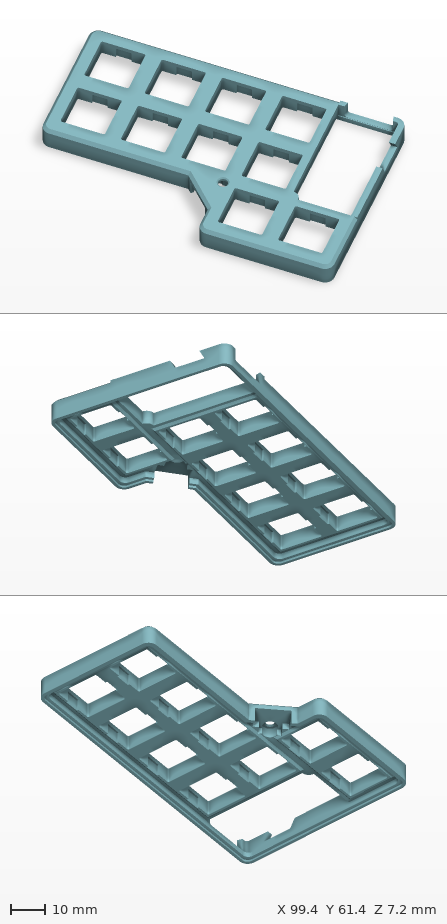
import cadquery as cq
import math

length = 99.4
width = 61.4
height = 7.2
corner_radius = 3.0
top_chamfer = 1.0

step_x = 57.1
step_y = 19.0
diagonal_cut = 10.1

window = 14.0
window_corner = 0.5
key_margin = 4.6
front_key_margin = 4.8
key_columns = 5
pitch = (length - 2 * key_margin - window) / (key_columns - 1)
upper_row_keys = [(column, row) for row in (1, 2) for column in range(4)]
thumb_keys = [(3, 0), (4, 0)]

clip_width = 5.0
clip_depth = 0.6
clip_plate = 1.4

lip_wall = 1.0
lip_depth = 0.7
wall = 2.0
pocket_depth = 2.7
pocket_radius = 2.0

pad_height = 0.7
pad_margin = 0.8

bay_left = 78.3
bay_bottom = 21.4
bay_back_wall = 1.7
bay_corner_radius = 1.0
bay_ledge_height = 2.4
post_diameter = 4.8

slot_width = 14.3
slot_floor = 3.0
slot_radius = 0.6
slot_flare = 0.6

notch_width = 10.0
notch_back = 51.7
notch_depth = 3.2
notch_lean = 1.7

screw_x = 57.7
screw_y = 19.6
screw_diameter = 3.0
screw_rim_diameter = 3.8
screw_recess_diameter = 4.8
screw_recess_depth = 6.0

passage_width = 10.7
passage_depth = 6.1
passage_inner_width = 6.9
passage_inner_depth = 8.9
passage_height = 4.8


def outline(inset, radius):
    """Plan outline moved inwards by inset, with the outer corners rounded."""
    diagonal_shift = inset * math.tan(math.radians(22.5))
    left, right = inset, length - inset
    bottom, back = inset, width - inset
    points = [
        (left, back),
        (left, step_y + inset),
        (step_x - diagonal_cut + diagonal_shift, step_y + inset),
        (step_x + inset, step_y - diagonal_cut + diagonal_shift),
        (step_x + inset, bottom),
        (right, bottom),
        (right, back),
    ]
    rounded = points[:2] + points[4:]
    solid = cq.Workplane("XY").polyline(points).close().extrude(height)
    for x, y in rounded:
        corner_edge = cq.selectors.NearestToPointSelector((x, y, height / 2))
        solid = solid.edges("|Z").edges(corner_edge).fillet(radius)
    return solid


def box(x_range, y_range, z_range):
    """Box between two limits on each axis."""
    size = [high - low for low, high in (x_range, y_range, z_range)]
    return cq.Workplane("XY").box(*size, centered=False).translate((x_range[0], y_range[0], z_range[0]))


def body():
    """Chamfered cover; the chamfer stops where the controller bay begins."""
    plain = outline(0, corner_radius)
    chamfered = plain.faces(">Z").chamfer(top_chamfer)
    bay_rim = box((bay_left, length), (bay_bottom, width), (0, height))
    return chamfered.union(plain.intersect(bay_rim))


def underside():
    """Lip recess and board pocket, less the pads around the key windows."""
    lip = outline(lip_wall, corner_radius - lip_wall).intersect(
        box((0, length), (0, width), (0, lip_depth)))
    pocket = outline(wall, pocket_radius).intersect(
        box((0, length), (0, width), (0, pocket_depth)))
    return lip.union(pocket).cut(key_pad(0, 3, 1, 2)).cut(key_pad(3, 4, 0, 0))


def key_center(column, row):
    """Plan position of a key window centre."""
    return (
        key_margin + window / 2 + column * pitch,
        front_key_margin + window / 2 + row * pitch,
    )


def key_pad(first_column, last_column, first_row, last_row):
    """Pad on the pocket ceiling around a block of key windows."""
    first_x, first_y = key_center(first_column, first_row)
    last_x, last_y = key_center(last_column, last_row)
    rim = window + 2 * (pad_margin + pad_height)
    middle = ((first_x + last_x) / 2, (first_y + last_y) / 2, pocket_depth)
    return (
        cq.Workplane("XY", origin=middle)
        .rect(last_x - first_x + rim, last_y - first_y + rim)
        .extrude(-pad_height, taper=45)
    )


def key_window(column, row):
    """Square window with a clip recess under the top plate in each Y wall."""
    opening = cq.Workplane("XY").rect(window, window).extrude(height).edges("|Z").fillet(window_corner)
    clips = cq.Workplane("XY").rect(clip_width, window + 2 * clip_depth).extrude(height - clip_plate)
    x, y = key_center(column, row)
    return opening.union(clips).translate((x, y, 0))


def controller_bay():
    """Through opening with a ledge along the back wall and a quarter round post in the front left corner."""
    lower = box((bay_left, length - wall), (bay_bottom, width - wall), (0, height))
    lower = lower.edges("|Z and >X and >Y").fillet(pocket_radius)
    upper = box((bay_left, length - wall), (bay_bottom, width - bay_back_wall), (bay_ledge_height, height))
    upper = upper.edges("|Z and >X and >Y").fillet(bay_corner_radius)
    post = cq.Workplane("XY").center(bay_left, bay_bottom).circle(post_diameter / 2).extrude(height)
    return lower.union(upper).cut(post)


def connector_slot():
    """Round cornered slot, open upwards, that widens from the outer face inwards."""
    taper = math.degrees(math.atan2(slot_flare, wall))
    slot_height = 2 * (height - slot_floor)
    center_x = (bay_left + length - wall) / 2
    return (
        cq.Workplane("XZ", origin=(center_x, width, height))
        .sketch()
        .rect(slot_width, slot_height)
        .vertices()
        .fillet(slot_radius)
        .finalize()
        .extrude(wall, taper=-taper)
    )


def side_notch():
    """Notch in the right wall whose two flanks lean the same way."""
    floor = height - notch_depth
    points = [
        (notch_back, height),
        (notch_back + notch_lean, floor),
        (notch_back + notch_lean - notch_width, floor),
        (notch_back - notch_width, height),
    ]
    return (
        cq.Workplane("YZ", origin=(length - wall, 0, 0))
        .polyline(points)
        .close()
        .extrude(wall)
    )


def screw_hole():
    """Through hole with a 45 degree countersunk rim and a wider recess from below."""
    rim = (screw_rim_diameter - screw_diameter) / 2
    hole = cq.Workplane("XY").circle(screw_diameter / 2).extrude(height)
    cone = (
        cq.Workplane("XY", origin=(0, 0, height - rim))
        .circle(screw_diameter / 2)
        .workplane(offset=rim)
        .circle(screw_rim_diameter / 2)
        .loft()
    )
    recess = cq.Workplane("XY").circle(screw_recess_diameter / 2).extrude(screw_recess_depth)
    return hole.union(cone).union(recess).translate((screw_x, screw_y, 0))


def cable_passage():
    """Stepped passage square to the diagonal wall."""
    entry = cq.Workplane("XY").rect(2 * passage_depth, passage_width).extrude(passage_height)
    inner = cq.Workplane("XY").rect(2 * passage_inner_depth, passage_inner_width).extrude(passage_height)
    middle = (step_x - diagonal_cut / 2, step_y - diagonal_cut / 2, 0)
    return entry.union(inner).rotate((0, 0, 0), (0, 0, 1), 45).translate(middle)


result = body().cut(underside())
for column, row in upper_row_keys + thumb_keys:
    result = result.cut(key_window(column, row))
result = result.cut(controller_bay())
result = result.cut(connector_slot())
result = result.cut(side_notch())
result = result.cut(screw_hole())
result = result.cut(cable_passage())